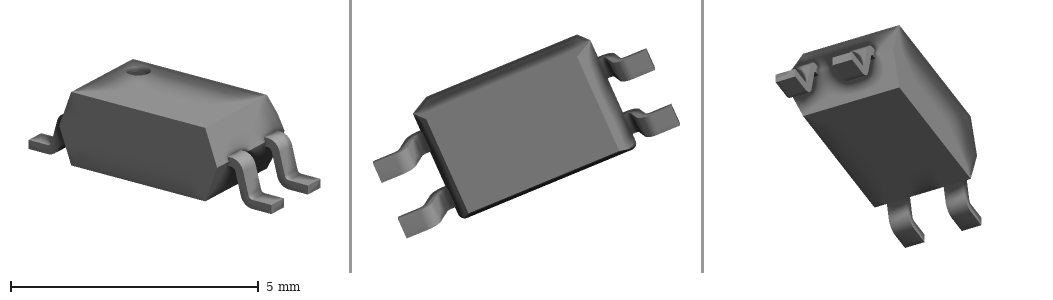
import cadquery as cq
import math

overall_length = 6.0
overall_height = 1.7

body_length = 3.9
body_width = 2.45
body_height = 1.6
body_back = 1.18
draft_inset = 0.295
corner_radius = 0.145

lead_thickness = 0.2
lead_width = 0.44
lead_pitch = 1.27
foot_length = 0.47
lean_angle = math.radians(15)
inner_bend_radius = 0.1
lead_embed = 0.3

mark_radius = 0.26
mark_floor_radius = 0.17
mark_depth = 0.09
mark_inset = 0.745

half_length = body_length / 2
half_height = body_height / 2
body_front = body_back - body_width
parting_z = overall_height - half_height
lead_top = parting_z + lead_thickness / 2


def make_body():
    """Body with drafted left, right and back sides and a flat front."""
    end_outline = [
        (-half_length, 0),
        (-half_length + draft_inset, half_height),
        (half_length - draft_inset, half_height),
        (half_length, 0),
        (half_length - draft_inset, -half_height),
        (-half_length + draft_inset, -half_height),
    ]
    side_outline = [
        (body_front, -half_height),
        (body_front, half_height),
        (body_back - draft_inset, half_height),
        (body_back, 0),
        (body_back - draft_inset, -half_height),
    ]
    end_prism = cq.Workplane("XZ").polyline(end_outline).close().extrude(body_width, both=True)
    side_prism = cq.Workplane("YZ").polyline(side_outline).close().extrude(body_length, both=True)
    body = end_prism.intersect(side_prism)
    for side in (-1, 1):
        body = round_back_corner(body, side)
    return body.translate((0, 0, parting_z))


def round_back_corner(body, side):
    """Replace a back corner by two cones, base to base, tangent to the drafted faces."""
    axis_x = side * (half_length - corner_radius)
    axis_y = body_back - corner_radius
    cone_height = corner_radius * half_height / draft_inset
    corner_block = cq.Workplane("XY").box(corner_radius, corner_radius, body_height).translate(
        (axis_x + side * corner_radius / 2, axis_y + corner_radius / 2, 0)
    )
    double_cone = (
        cq.Workplane("XZ", origin=(axis_x, axis_y, 0))
        .polyline([(0, -cone_height), (corner_radius, 0), (0, cone_height)])
        .close()
        .revolve(360, (0, 0, 0), (0, 1, 0))
    )
    return body.cut(corner_block).union(double_cone)


def make_left_lead():
    """One left-hand lead, centred on Y = 0."""
    outer_radius = inner_bend_radius + lead_thickness
    toe_x = -overall_length / 2
    root_x = -half_length + lead_embed
    lower_x = toe_x + foot_length
    lower_z = outer_radius
    upper_z = lead_top - outer_radius
    radius_sum = outer_radius + inner_bend_radius
    leg_length = (upper_z - lower_z + radius_sum * math.sin(lean_angle)) / math.cos(lean_angle)
    upper_x = lower_x + radius_sum * math.cos(lean_angle) + leg_length * math.sin(lean_angle)

    middle_angle = (math.pi / 2 + lean_angle) / 2

    def lower_point(radius, angle):
        return lower_x + radius * math.cos(angle), lower_z - radius * math.sin(angle)

    def upper_point(radius, angle):
        return upper_x - radius * math.cos(angle), upper_z + radius * math.sin(angle)

    return (
        cq.Workplane("XZ")
        .moveTo(toe_x, 0)
        .lineTo(lower_x, 0)
        .threePointArc(lower_point(outer_radius, middle_angle), lower_point(outer_radius, lean_angle))
        .lineTo(*upper_point(inner_bend_radius, lean_angle))
        .threePointArc(upper_point(inner_bend_radius, middle_angle), (upper_x, upper_z + inner_bend_radius))
        .lineTo(root_x, lead_top - lead_thickness)
        .lineTo(root_x, lead_top)
        .lineTo(upper_x, lead_top)
        .threePointArc(upper_point(outer_radius, middle_angle), upper_point(outer_radius, lean_angle))
        .lineTo(*lower_point(inner_bend_radius, lean_angle))
        .threePointArc(lower_point(inner_bend_radius, middle_angle), (lower_x, lead_thickness))
        .lineTo(toe_x, lead_thickness)
        .close()
        .extrude(lead_width / 2, both=True)
    )


def make_pin_one_mark():
    """Cutter for the conical recess in the top face, equally far from the left and back sides."""
    return (
        cq.Workplane("XZ", origin=(mark_inset - half_length, body_back - mark_inset, overall_height))
        .polyline([(0, 0), (mark_radius, 0), (mark_floor_radius, -mark_depth), (0, -mark_depth)])
        .close()
        .revolve(360, (0, 0, 0), (0, 1, 0))
    )


result = make_body().cut(make_pin_one_mark())
left_lead = make_left_lead()
right_lead = left_lead.mirror("YZ")
for lead_y in (-lead_pitch / 2, lead_pitch / 2):
    for lead in (left_lead, right_lead):
        result = result.union(lead.translate((0, lead_y, 0)))